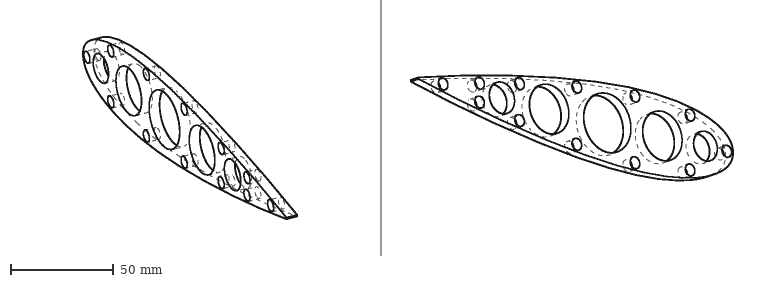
import cadquery as cq
import math

chord = 200.0
max_thickness = 41.8
rib_width = 6.0
points_per_side = 40

lightening_holes = [
    (17.5, 15.0),
    (45.0, 25.0),
    (80.0, 30.0),
    (117.0, 25.0),
    (147.0, 16.0),
]

rim_hole_diameter = 6.0
nose_hole_x = 4.0
tail_hole_x = 184.5
rim_hole_pairs = [
    (27.5, 14.0),
    (62.5, 17.0),
    (99.5, 14.5),
    (135.8, 9.5),
    (161.2, 4.8),
]


def half_thickness(x):
    """Half thickness of a symmetric NACA four-digit section, blunt at the tail."""
    t = x / chord
    shape = 0.2969 * math.sqrt(t) - 0.126 * t - 0.3516 * t**2 + 0.2843 * t**3 - 0.1015 * t**4
    return 5 * max_thickness * shape


def airfoil_plate():
    stations = [
        chord * (1 - math.cos(math.pi * i / points_per_side)) / 2
        for i in range(points_per_side + 1)
    ]
    upper = [(x, half_thickness(x)) for x in reversed(stations)]
    lower = [(x, -half_thickness(x)) for x in stations[1:]]
    outline = cq.Workplane("XZ", origin=(0, rib_width / 2, 0)).spline(upper + lower).close()
    return outline.extrude(rib_width)


def round_cutters(centers, diameter):
    circles = cq.Workplane("XZ", origin=(0, rib_width / 2, 0)).pushPoints(centers).circle(diameter / 2)
    return circles.extrude(rib_width)


result = airfoil_plate()

for x, diameter in lightening_holes:
    result = result.cut(round_cutters([(x, 0)], diameter))

rim_centers = [(nose_hole_x, 0), (tail_hole_x, 0)]
for x, height in rim_hole_pairs:
    rim_centers += [(x, height), (x, -height)]
result = result.cut(round_cutters(rim_centers, rim_hole_diameter))